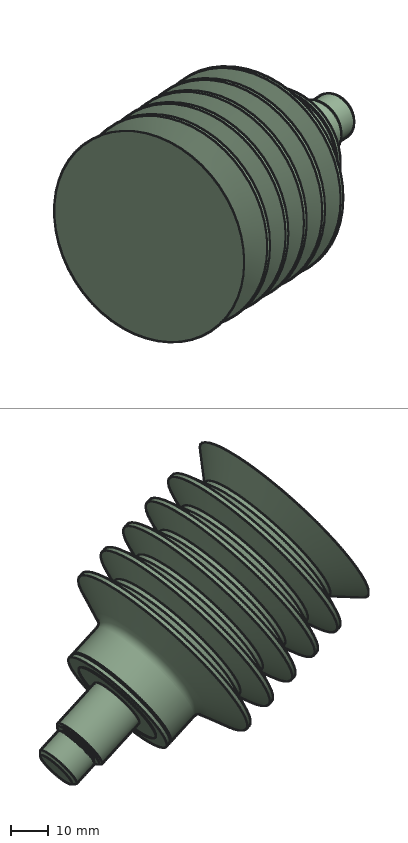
import cadquery as cq
import math

total_length = 91.3

ridge_radius = 60.0 / 2
neck_radius = 44.65 / 2
ridge_count = 5
ridge_span = 36.0
ridge_pitch = ridge_span / (ridge_count - 1)
rim_width = 1.4
neck_width = 1.5
flank_width = (ridge_pitch - rim_width - neck_width) / 2
lip_height = 6.8

collar_radius = 35.0 / 2
collar_top = 66.7
blend_start_y = 52.95
blend_end_y = 55.7
seam_y = 65.2
seam_width = 0.4
seam_depth = 0.1
pad_radius = 13.7
pad_height = 0.2

stem_radius = 16.0 / 2
stem_top = 82.4
stem_chamfer = 0.55
undercut_radius = 11.4 / 2
undercut_top = 83.3
plug_radius = 13.15 / 2
plug_chamfer = 0.9


def bellows_and_collar():
    """Revolved solid from the sealing lip to the top of the collar."""
    profile = cq.Workplane("XY").lineTo(ridge_radius, 0).lineTo(neck_radius, lip_height)
    for ridge in range(ridge_count):
        rim_start = lip_height + neck_width + flank_width + ridge * ridge_pitch
        rim_end = rim_start + rim_width
        profile = profile.lineTo(neck_radius, rim_start - flank_width)
        profile = profile.lineTo(ridge_radius, rim_start).lineTo(ridge_radius, rim_end)
        if ridge < ridge_count - 1:
            profile = profile.lineTo(neck_radius, rim_end + flank_width)

    flank_slope = (ridge_radius - neck_radius) / flank_width
    blend_radius_at_start = ridge_radius - flank_slope * (blend_start_y - rim_end)
    chord_x = blend_radius_at_start - collar_radius
    chord_y = blend_end_y - blend_start_y
    arc_radius = (chord_x**2 + chord_y**2) / (2 * chord_x)
    half_angle = math.asin(chord_y / arc_radius) / 2
    blend_middle = (
        collar_radius + arc_radius * (1 - math.cos(half_angle)),
        blend_end_y - arc_radius * math.sin(half_angle),
    )
    profile = (
        profile.lineTo(blend_radius_at_start, blend_start_y)
        .threePointArc(blend_middle, (collar_radius, blend_end_y))
        .lineTo(collar_radius, collar_top)
        .lineTo(0, collar_top)
        .close()
    )
    return profile.revolve(360, (0, 0), (0, 1))


def cylinder(radius, start_y, end_y):
    """Solid cylinder on the Y axis."""
    base = cq.Workplane("XZ", origin=(0, start_y, 0))
    return base.circle(radius).extrude(start_y - end_y)


def collar_seam():
    """Shallow ring cut around the collar."""
    seam_start = seam_y - seam_width / 2
    seam_end = seam_y + seam_width / 2
    outer = cylinder(collar_radius + seam_depth, seam_start, seam_end)
    return outer.cut(cylinder(collar_radius - seam_depth, seam_start, seam_end))


def stem():
    """Stem, undercut and end plug, with chamfered upper edges."""
    shank = cylinder(stem_radius, collar_top, stem_top).faces(">Y").chamfer(stem_chamfer)
    undercut = cylinder(undercut_radius, stem_top, undercut_top)
    plug = cylinder(plug_radius, undercut_top, total_length).faces(">Y").chamfer(plug_chamfer)
    return shank.union(undercut).union(plug)


pad = cylinder(pad_radius, collar_top, collar_top + pad_height)
result = bellows_and_collar().cut(collar_seam()).union(pad).union(stem())